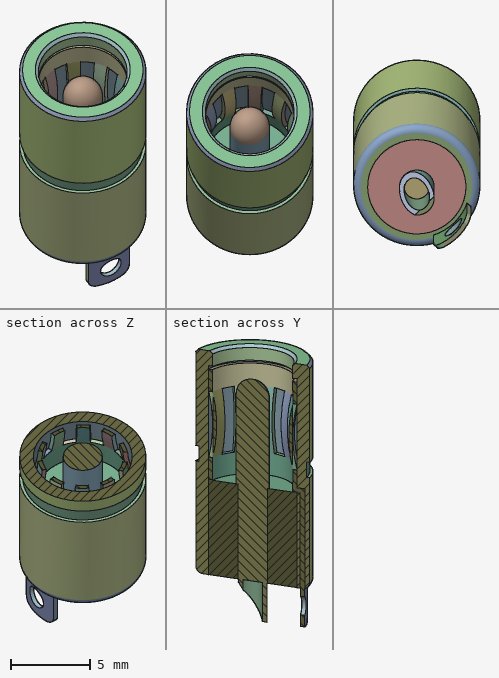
import cadquery as cq

overall_length = 17.6
barrel_dia = 8.0
barrel_length = 15.0
rim_chamfer = 0.2
base_fillet = 0.5
groove_dia = 7.6
groove_width = 1.0
groove_drop = 6.5
entry_dia = 5.61
lip_height = 1.04

sheet = 0.3
sleeve_inner_dia = entry_dia
sleeve_outer_dia = sleeve_inner_dia + 2 * sheet
lip_gap = 0.2
band_height = 1.5
beam_length = 4.4
beam_bow = 0.28
beam_count = 10
beam_pitch = 360 / beam_count
beam_angle = beam_pitch / 2
tail_outer_dia = 7.3
tail_width = 3.0
tail_length = 2.55
tail_corner = 0.5
tail_hole_dia = 1.5
tail_hole_drop = 1.15

nose_dia = 2.5
nose_drop = 1.39
shank_dia = 2.2
shank_length = overall_length - barrel_length
cup_dia = 1.6
scarf_top_drop = 0.07
scarf_end_x = 0.69

lip_bottom = barrel_length - lip_height
sleeve_top = lip_bottom - lip_gap
beam_top = sleeve_top - band_height
beam_bottom = beam_top - beam_length
sleeve_bottom = beam_bottom - band_height
foot_top = sleeve_bottom + sheet
nose_tip = barrel_length - nose_drop


def cylinder(diameter, bottom, top):
    """Round bar on the Z axis between two levels."""
    return cq.Workplane("XY").workplane(offset=bottom).circle(diameter / 2).extrude(top - bottom)


def tube(outer_dia, inner_dia, bottom, top):
    """Round tube on the Z axis between two levels."""
    return cylinder(outer_dia, bottom, top).cut(cylinder(inner_dia, bottom, top))


def make_beams():
    """Beams between the two bands, each bowed inward and centred between multiples of the pitch."""
    inner = sleeve_inner_dia / 2
    outer = sleeve_outer_dia / 2
    middle = (beam_top + beam_bottom) / 2
    beam = (
        cq.Workplane("XZ")
        .moveTo(inner, beam_top)
        .threePointArc((inner - beam_bow, middle), (inner, beam_bottom))
        .lineTo(outer, beam_bottom)
        .threePointArc((outer - beam_bow, middle), (outer, beam_top))
        .close()
        .revolve(beam_angle, (0, 0, 0), (0, 1, 0))
    )
    first_angle = (beam_pitch - beam_angle) / 2
    return [
        beam.rotate((0, 0, 0), (0, 0, 1), first_angle + i * beam_pitch)
        for i in range(beam_count)
    ]


def make_tail():
    """Foot and curved strip on the +X side, trimmed to width with round corners and a wire hole."""
    foot = tube(tail_outer_dia, sleeve_inner_dia, sleeve_bottom, foot_top)
    strip = tube(tail_outer_dia, tail_outer_dia - 2 * sheet, -tail_length, foot_top)
    outline = (
        cq.Workplane("XY")
        .workplane(offset=-tail_length)
        .box(tail_outer_dia, tail_width, foot_top + tail_length, centered=(False, True, False))
        .edges("|X and <Z")
        .fillet(tail_corner)
    )
    wire_hole = (
        cq.Workplane("YZ")
        .center(0, -tail_hole_drop)
        .circle(tail_hole_dia / 2)
        .extrude(tail_outer_dia)
    )
    return foot.union(strip).intersect(outline).cut(wire_hole)


def make_contact():
    """Upper and lower bands joined by the bowed beams, with the solder tail on the lower band."""
    contact = tube(sleeve_outer_dia, sleeve_inner_dia, beam_top, sleeve_top)
    for beam in make_beams():
        contact = contact.union(beam)
    lower_band = tube(sleeve_outer_dia, sleeve_inner_dia, sleeve_bottom, beam_bottom)
    return contact.union(lower_band).union(make_tail())


def make_pin():
    """Pin with a hemispherical nose; the cup's mouth is cut on a slant facing -X."""
    nose_radius = nose_dia / 2
    dome_centre = nose_tip - nose_radius
    nose = cylinder(nose_dia, sleeve_bottom, dome_centre)
    dome = cq.Workplane("XY").sphere(nose_radius).translate((0, 0, dome_centre))
    shank = cylinder(shank_dia, -shank_length, sleeve_bottom)
    cup = cylinder(cup_dia, -shank_length, 0)
    scarf = (
        cq.Workplane("XZ")
        .moveTo(-shank_dia / 2, -scarf_top_drop)
        .lineTo(scarf_end_x, -shank_length)
        .lineTo(-shank_dia / 2, -shank_length)
        .close()
        .extrude(shank_dia / 2, both=True)
    )
    return nose.union(dome).union(shank).cut(cup).cut(scarf)


def make_housing(contact):
    """Barrel bored from below up to the entry lip, with an outer groove and room for the tail."""
    groove_top = barrel_length - groove_drop
    housing = cylinder(barrel_dia, 0, barrel_length).faces("<Z").edges().fillet(base_fillet)
    housing = housing.cut(cylinder(entry_dia, 0, barrel_length))
    housing = housing.faces(">Z").edges().chamfer(rim_chamfer)
    housing = housing.cut(cylinder(sleeve_outer_dia, 0, lip_bottom))
    housing = housing.cut(tube(barrel_dia, groove_dia, groove_top - groove_width, groove_top))
    return housing.cut(contact)


def make_insulator():
    """Plug that closes the housing below the sleeve and holds the pin's shank."""
    return tube(sleeve_outer_dia, shank_dia, 0, sleeve_bottom)


contact = make_contact()
housing = make_housing(contact)
insulator = make_insulator()
pin = make_pin()

bodies = [housing, contact, insulator, pin]
result = cq.Compound.makeCompound([body.solids().val() for body in bodies])